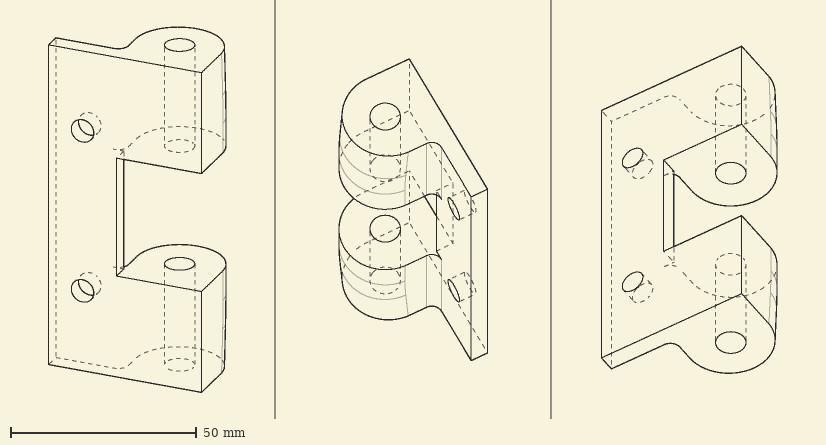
import cadquery as cq
import math

PLATE_WIDTH = 45.0
PLATE_THICKNESS = 5.0
PLATE_HEIGHT = 95.0
NOTCH_HEIGHT = 35.0

KNUCKLE_WIDTH = 25.0
KNUCKLE_RADIUS = KNUCKLE_WIDTH / 2
KNUCKLE_X = PLATE_WIDTH - KNUCKLE_RADIUS
KNUCKLE_LEFT = PLATE_WIDTH - KNUCKLE_WIDTH
KNUCKLE_LENGTH = (PLATE_HEIGHT - NOTCH_HEIGHT) / 2
PIN_Y = 14.0
PIN_DIAMETER = 8.2
ROOT_FILLET = 3.0

CROWN_STRAIGHT = 8.8
CROWN_TOP_Y = PIN_Y + KNUCKLE_RADIUS
SHOULDER_OFFSET = 0.6
CROWN_SHOULDER_Y = PIN_Y + SHOULDER_OFFSET
CROWN_BEND_RADIUS = 145.0
CROWN_LEAN_DEG = 3.3

SCREW_DIAMETER = 6.6
SCREW_X = 10.0
SCREW_SPACING = 47.5


def make_plate():
    """Full-height plate between the two end faces."""
    return cq.Workplane("XY").box(
        PLATE_WIDTH, PLATE_THICKNESS, PLATE_HEIGHT, centered=(False, False, True)
    )


def make_root(z_start):
    """Foot of a knuckle, with a concave fillet onto the plate."""
    fillet_top = PLATE_THICKNESS + ROOT_FILLET
    fillet_mid = ROOT_FILLET * (1 - math.sqrt(0.5))
    return (
        cq.Workplane("XY", origin=(0, 0, z_start))
        .moveTo(PLATE_WIDTH, 0)
        .lineTo(PLATE_WIDTH, fillet_top)
        .lineTo(KNUCKLE_LEFT, fillet_top)
        .threePointArc(
            (KNUCKLE_LEFT - fillet_mid, PLATE_THICKNESS + fillet_mid),
            (KNUCKLE_LEFT - ROOT_FILLET, PLATE_THICKNESS),
        )
        .lineTo(KNUCKLE_LEFT - ROOT_FILLET, 0)
        .close()
        .extrude(KNUCKLE_LENGTH)
    )


def make_crown(z_start):
    """Round-topped body swept along a path that leans towards the plate at its outer end."""
    lean = math.radians(CROWN_LEAN_DEG)
    bend_z = z_start + CROWN_STRAIGHT
    bend_centre_y = PIN_Y - CROWN_BEND_RADIUS

    def bend_point(angle):
        return (
            bend_centre_y + CROWN_BEND_RADIUS * math.cos(angle),
            bend_z + CROWN_BEND_RADIUS * math.sin(angle),
        )

    lean_y, lean_z = bend_point(lean)
    lean_length = KNUCKLE_LENGTH
    path = (
        cq.Workplane("YZ", origin=(KNUCKLE_X, 0, 0))
        .moveTo(PIN_Y, z_start)
        .lineTo(PIN_Y, bend_z)
        .threePointArc(bend_point(lean / 2), (lean_y, lean_z))
        .lineTo(lean_y - lean_length * math.sin(lean), lean_z + lean_length * math.cos(lean))
    )
    swept = (
        cq.Workplane("XY", origin=(KNUCKLE_X, 0, z_start))
        .moveTo(-KNUCKLE_RADIUS, PLATE_THICKNESS)
        .lineTo(-KNUCKLE_RADIUS, CROWN_SHOULDER_Y)
        .threePointArc((0, CROWN_TOP_Y), (KNUCKLE_RADIUS, CROWN_SHOULDER_Y))
        .lineTo(KNUCKLE_RADIUS, PLATE_THICKNESS)
        .close()
        .sweep(path)
    )
    envelope = cq.Workplane("XY", origin=(KNUCKLE_LEFT, PLATE_THICKNESS, z_start)).box(
        KNUCKLE_WIDTH, CROWN_TOP_Y - PLATE_THICKNESS, KNUCKLE_LENGTH, centered=False
    )
    return swept.intersect(envelope)


def make_knuckle():
    """Upper knuckle, its inner face on the notch."""
    z_start = NOTCH_HEIGHT / 2
    return make_root(z_start).union(make_crown(z_start))


def make_notch():
    """Gap in the plate between the knuckles."""
    return cq.Workplane("XY", origin=(KNUCKLE_LEFT, 0, 0)).box(
        KNUCKLE_WIDTH, PLATE_THICKNESS, NOTCH_HEIGHT, centered=(False, False, True)
    )


def make_pin_bore():
    """Bore along Z through both knuckles."""
    return (
        cq.Workplane("XY", origin=(KNUCKLE_X, PIN_Y, -PLATE_HEIGHT / 2))
        .circle(PIN_DIAMETER / 2)
        .extrude(PLATE_HEIGHT)
    )


def make_screw_holes():
    """Pair of holes along Y through the plate."""
    return (
        cq.Workplane("XZ")
        .pushPoints([(SCREW_X, SCREW_SPACING / 2), (SCREW_X, -SCREW_SPACING / 2)])
        .circle(SCREW_DIAMETER / 2)
        .extrude(-PLATE_THICKNESS)
    )


upper_knuckle = make_knuckle()
lower_knuckle = upper_knuckle.mirror("XY")
result = (
    make_plate()
    .cut(make_notch())
    .union(upper_knuckle)
    .union(lower_knuckle)
    .cut(make_pin_bore())
    .cut(make_screw_holes())
)